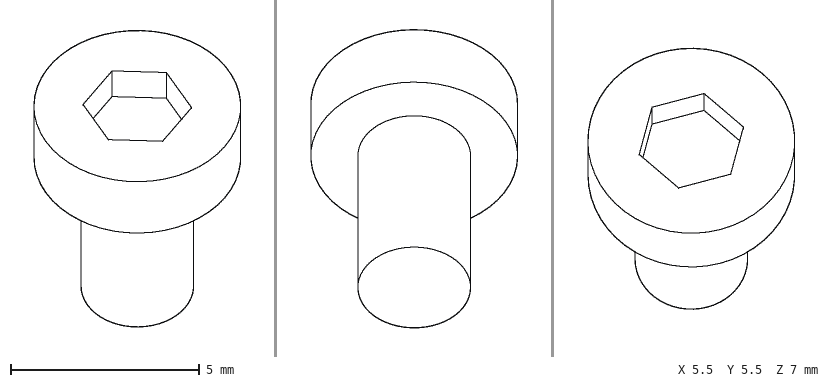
import cadquery as cq
import math

head_diameter = 5.5
head_height = 2.0
shank_diameter = 3.0
shank_length = 5.0

socket_sides = 6
socket_across_flats = 2.5
socket_depth = 1.0
socket_turn = 90
socket_across_corners = socket_across_flats / math.cos(math.pi / socket_sides)


def make_head():
    return cq.Workplane("XY").circle(head_diameter / 2).extrude(head_height)


def make_shank():
    return cq.Workplane("XY").circle(shank_diameter / 2).extrude(-shank_length)


def make_socket():
    """Hexagonal socket sunk into the top of the head, with flats facing +X and -X."""
    return (
        cq.Workplane("XY", origin=(0, 0, head_height))
        .transformed(rotate=(0, 0, socket_turn))
        .polygon(socket_sides, socket_across_corners)
        .extrude(-socket_depth)
    )


result = make_head().union(make_shank()).cut(make_socket())